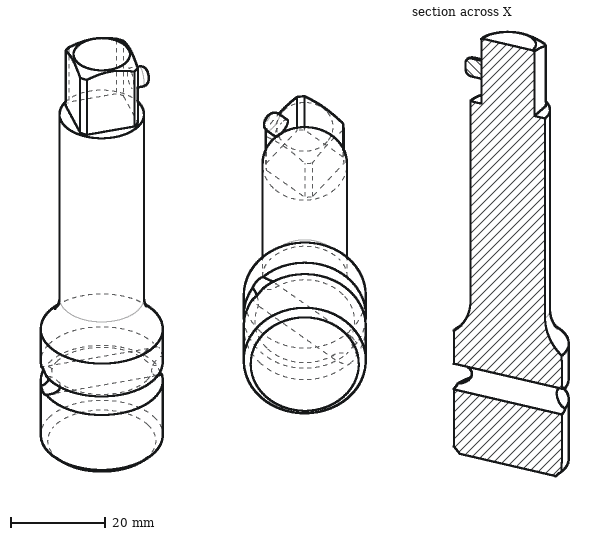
import cadquery as cq
import math

TOTAL_HEIGHT = 100
HEAD_RADIUS = 13
HEAD_TOP = 29
BASE_CHAMFER = 1.5
SHAFT_RADIUS = 9
SHAFT_TOP = 84.5
FLARE_TOP = 37

GROOVE_HEIGHT = 18.1
GROOVE_RADIUS = 2.4
CROSS_HOLE_DIAMETER = 6

SQUARE_WIDTH = 12.8
CORNER_RADIUS = 8.3
DRIVE_TIP_RADIUS = 6
DRIVE_TIP_DROP = 1.3

PIN_RADIUS = 2.2
PIN_HEIGHT = 92.5
PIN_TIP_Y = 10.2
PIN_TIP_FILLET = 1.5


def flare_midpoint():
    """Middle of the concave arc, tangent to the shaft, that widens it to the head."""
    rise = FLARE_TOP - HEAD_TOP
    widening = HEAD_RADIUS - SHAFT_RADIUS
    arc_radius = (rise**2 + widening**2) / (2 * widening)
    half_angle = math.asin(rise / arc_radius) / 2
    radius = SHAFT_RADIUS + arc_radius * (1 - math.cos(half_angle))
    height = FLARE_TOP - arc_radius * math.sin(half_angle)
    return radius, height


def make_turned_body():
    """Chamfered head with a half-round groove, concave flare and plain shaft."""
    profile = (
        cq.Workplane("XZ")
        .lineTo(HEAD_RADIUS - BASE_CHAMFER, 0)
        .lineTo(HEAD_RADIUS, BASE_CHAMFER)
        .lineTo(HEAD_RADIUS, GROOVE_HEIGHT - GROOVE_RADIUS)
        .threePointArc(
            (HEAD_RADIUS - GROOVE_RADIUS, GROOVE_HEIGHT),
            (HEAD_RADIUS, GROOVE_HEIGHT + GROOVE_RADIUS),
        )
        .lineTo(HEAD_RADIUS, HEAD_TOP)
        .threePointArc(flare_midpoint(), (SHAFT_RADIUS, FLARE_TOP))
        .lineTo(SHAFT_RADIUS, SHAFT_TOP)
        .lineTo(0, SHAFT_TOP)
        .close()
    )
    return profile.revolve(360, (0, 0, 0), (0, 1, 0))


def make_square_drive():
    """Square prism trimmed by a cylinder at its corners and a cone at its tip."""
    square = (
        cq.Workplane("XY")
        .workplane(offset=SHAFT_TOP)
        .rect(SQUARE_WIDTH, SQUARE_WIDTH)
        .extrude(TOTAL_HEIGHT - SHAFT_TOP)
    )
    turned_envelope = (
        cq.Workplane("XZ")
        .moveTo(0, SHAFT_TOP)
        .lineTo(CORNER_RADIUS, SHAFT_TOP)
        .lineTo(CORNER_RADIUS, TOTAL_HEIGHT - DRIVE_TIP_DROP)
        .lineTo(DRIVE_TIP_RADIUS, TOTAL_HEIGHT)
        .lineTo(0, TOTAL_HEIGHT)
        .close()
        .revolve(360, (0, 0, 0), (0, 1, 0))
    )
    return square.intersect(turned_envelope)


def make_cross_hole():
    """Round hole along Y through the whole head, centred on the groove."""
    return (
        cq.Workplane("XZ")
        .center(0, GROOVE_HEIGHT)
        .circle(CROSS_HOLE_DIAMETER / 2)
        .extrude(HEAD_RADIUS, both=True)
    )


def make_extension_bar():
    return make_turned_body().union(make_square_drive()).cut(make_cross_hole())


def make_detent_pin():
    """Round pin along +Y with a rounded free end."""
    base_y = SQUARE_WIDTH / 2
    return (
        cq.Workplane("XZ", origin=(0, base_y, PIN_HEIGHT))
        .circle(PIN_RADIUS)
        .extrude(base_y - PIN_TIP_Y)
        .faces(">Y")
        .edges()
        .fillet(PIN_TIP_FILLET)
    )


extension_bar = make_extension_bar()
detent_pin = make_detent_pin()

result = cq.Compound.makeCompound([extension_bar.val(), detent_pin.val()])